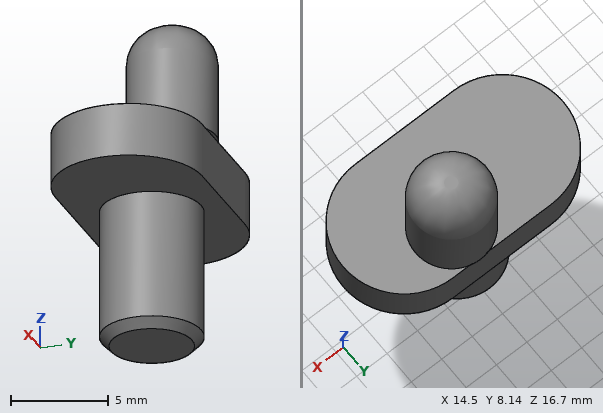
import cadquery as cq

total_height = 16.7
shaft_length = 7.5
plate_thickness = 2.9
pin_gap = 0.1
plate_bottom = shaft_length
pin_bottom = plate_bottom + plate_thickness + pin_gap
pin_length = total_height - pin_bottom

plate_length = 14.5
plate_width = 8.02

shaft_diameter = 5.4
shaft_x = -0.23
shaft_chamfer = 0.5

pin_diameter = 4.75
pin_x = 1.52
pin_overhang = 0.12
pin_y = plate_width / 2 + pin_overhang - pin_diameter / 2
pin_round = 2.0


def make_shaft():
    """Round shaft with a chamfered lower end, butting against the plate."""
    shaft = cq.Workplane("XY").center(shaft_x, 0).circle(shaft_diameter / 2).extrude(shaft_length)
    return shaft.faces("<Z").edges().chamfer(shaft_chamfer)


def make_plate():
    """Flat plate with full-round ends."""
    return (
        cq.Workplane("XY", origin=(0, 0, plate_bottom))
        .slot2D(plate_length, plate_width)
        .extrude(plate_thickness)
    )


def make_pin():
    """Round pin whose rounded top leaves a small flat in the middle."""
    pin = (
        cq.Workplane("XY", origin=(pin_x, pin_y, pin_bottom))
        .circle(pin_diameter / 2)
        .extrude(pin_length)
    )
    return pin.faces(">Z").edges().fillet(pin_round)


shaft = make_shaft()
plate = make_plate()
pin = make_pin()

result = cq.Compound.makeCompound([shaft.val(), plate.val(), pin.val()])